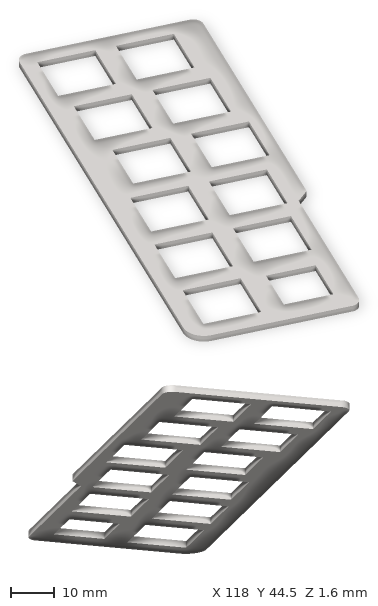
import cadquery as cq

length = 118.0
width = 44.5
thickness = 1.6
left_corner_radius = 2.5
upper_right_radius = 2.5
lower_right_radius = 5.0
corner_overhang = 0.05

step_depth = 3.0
step_start = 72.15

column_pitch = 19.05
row_pitch = 19.0
key_size = 14.0
first_column_x = 11.0
lower_row_y = 10.8
column_staggers = [0.0, 2.0, 4.5, 2.0, 1.0, 1.0]

small_opening_size = 12.0
small_opening_drop = 0.2


def plate():
    """Flat plate with rounded corners and a stepped back edge."""
    back_y = width - step_depth
    corner_x = length + corner_overhang
    return (
        cq.Workplane("XY")
        .moveTo(left_corner_radius, 0)
        .lineTo(length - lower_right_radius, 0)
        .radiusArc((length, lower_right_radius), -lower_right_radius)
        .lineTo(length, back_y - upper_right_radius)
        .lineTo(corner_x, back_y - upper_right_radius)
        .radiusArc((corner_x - upper_right_radius, back_y), -upper_right_radius)
        .lineTo(step_start + step_depth, back_y)
        .lineTo(step_start, width)
        .lineTo(left_corner_radius, width)
        .radiusArc((0, width - left_corner_radius), -left_corner_radius)
        .lineTo(0, left_corner_radius)
        .radiusArc((left_corner_radius, 0), -left_corner_radius)
        .close()
        .extrude(thickness)
    )


def opening(x, y, size):
    """Square prism that cuts one key opening, centred on (x, y)."""
    return cq.Workplane("XY").center(x, y).rect(size, size).extrude(thickness)


def key_openings():
    """All cutting prisms, a lower and an upper one per column."""
    last_column = len(column_staggers) - 1
    prisms = []
    for column, stagger in enumerate(column_staggers):
        x = first_column_x + column * column_pitch
        lower_y = lower_row_y + stagger
        upper_y = lower_y + row_pitch
        prisms.append(opening(x, lower_y, key_size))
        if column == last_column:
            prisms.append(opening(x, upper_y - small_opening_drop, small_opening_size))
        else:
            prisms.append(opening(x, upper_y, key_size))
    return prisms


result = plate()
for prism in key_openings():
    result = result.cut(prism)